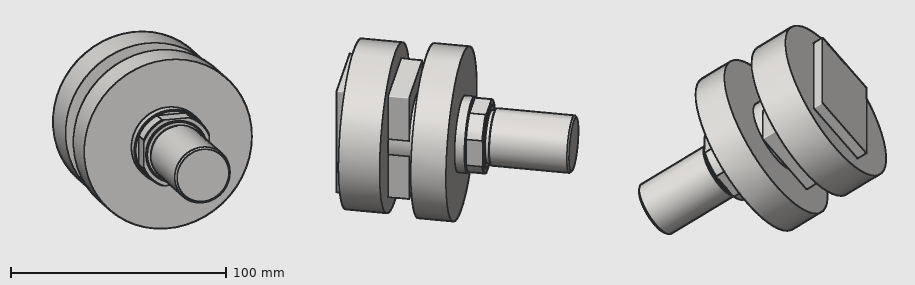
import cadquery as cq

TOTAL_LENGTH = 109.0

BLOCK_LENGTH = 34.3
BLOCK_WIDTH = 35.0
BLOCK_HEIGHT = 55.0
BLOCK_EDGE_RADIUS = 0.4

FRONT_DISC_DIAMETER = 80.0
FRONT_DISC_START = 5.0
FRONT_DISC_THICKNESS = 19.4
FRONT_DISC_END = FRONT_DISC_START + FRONT_DISC_THICKNESS
REAR_DISC_DIAMETER = 82.0
REAR_DISC_START = 39.3
REAR_DISC_THICKNESS = 16.6

BODY_DIAMETER = 36.0
BODY_END = 61.0
BODY_START = FRONT_DISC_END
SEAT_DIAMETER = 30.0
SEAT_END = 69.3
GROOVE_DIAMETER = 25.0
JOURNAL_DIAMETER = 27.0
JOURNAL_START = 71.4
GROOVE_FOOT = 0.3
JOURNAL_CHAMFER = 0.9
SHOULDER_CHAMFER = 0.5

COLLAR_DIAMETER = 34.9
COLLAR_FLATS = 31.9
COLLAR_END = 68.9
COLLAR_CHAMFER = 0.3


def cylinder(diameter, start, end):
    """A cylinder on the X axis between two X positions."""
    return cq.Workplane("YZ", origin=(start, 0, 0)).circle(diameter / 2).extrude(end - start)


def bar(width, height, start, end):
    """A rectangular bar centred on the X axis between two X positions."""
    return cq.Workplane("YZ", origin=(start, 0, 0)).rect(width, height).extrude(end - start)


def make_block_blank():
    return bar(BLOCK_WIDTH, BLOCK_HEIGHT, 0, BLOCK_LENGTH).edges("|X").fillet(BLOCK_EDGE_RADIUS)


def make_block():
    """The bar with a round socket for the spindle, slightly wider than the bar itself."""
    return make_block_blank().cut(cylinder(BODY_DIAMETER, BODY_START, BLOCK_LENGTH))


def make_front_disc():
    """A disc with a window that fits the block."""
    disc = cylinder(FRONT_DISC_DIAMETER, FRONT_DISC_START, FRONT_DISC_END)
    return disc.cut(make_block_blank())


def make_rear_disc():
    """A disc with a round bore that fits the spindle body."""
    end = REAR_DISC_START + REAR_DISC_THICKNESS
    disc = cylinder(REAR_DISC_DIAMETER, REAR_DISC_START, end)
    return disc.cut(cylinder(BODY_DIAMETER, REAR_DISC_START, end))


def make_spindle():
    """A stepped shaft, made by turning its half profile about the X axis."""
    body_radius = BODY_DIAMETER / 2
    seat_radius = SEAT_DIAMETER / 2
    groove_radius = GROOVE_DIAMETER / 2
    journal_radius = JOURNAL_DIAMETER / 2
    profile = [
        (BODY_START, 0),
        (BODY_START, body_radius),
        (BODY_END - SHOULDER_CHAMFER, body_radius),
        (BODY_END, body_radius - SHOULDER_CHAMFER),
        (BODY_END, seat_radius),
        (SEAT_END - SHOULDER_CHAMFER, seat_radius),
        (SEAT_END, seat_radius - SHOULDER_CHAMFER),
        (SEAT_END, groove_radius),
        (JOURNAL_START - GROOVE_FOOT, groove_radius),
        (JOURNAL_START, groove_radius + GROOVE_FOOT),
        (JOURNAL_START, journal_radius),
        (TOTAL_LENGTH - JOURNAL_CHAMFER, journal_radius),
        (TOTAL_LENGTH, journal_radius - JOURNAL_CHAMFER),
        (TOTAL_LENGTH, 0),
    ]
    return cq.Workplane("XY").polyline(profile).close().revolve(360, (0, 0, 0), (1, 0, 0))


def make_collar():
    """A ring with a chamfered outer rim, cut square by two pairs of flats."""
    ring = cylinder(COLLAR_DIAMETER, BODY_END, COLLAR_END).faces(">X").chamfer(COLLAR_CHAMFER)
    ring = ring.intersect(bar(COLLAR_FLATS, COLLAR_FLATS, BODY_END, COLLAR_END))
    return ring.cut(cylinder(SEAT_DIAMETER, BODY_END, COLLAR_END))


block = make_block()
front_disc = make_front_disc()
rear_disc = make_rear_disc()
spindle = make_spindle()
collar = make_collar()

result = cq.Compound.makeCompound(
    [block.val(), front_disc.val(), rear_disc.val(), spindle.val(), collar.val()]
)